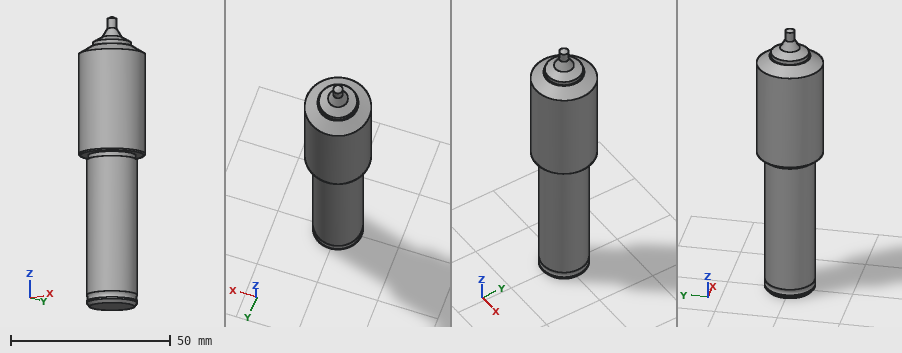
import cadquery as cq
import math

total_length = 92.35

pin_radius = 1.5
flare_radius = 3.1
collar_radius = 6.0
shoulder_radius = 6.5
body_radius = 10.48
undercut_radius = 7.5
shaft_radius = 7.99

bottom_chamfer_top = 1.1
ring_groove_bottom = 1.7
ring_groove_top = 3.6
shaft_top = 46.6
body_bottom = 48.1
body_top = 80.25
shoulder_height = 82.7
collar_top = 84.0
pin_bottom = 88.5

point_height = 0.7
body_chamfer = 0.5
bottom_chamfer_width = 0.9
ring_groove_depth = 0.3
undercut_fillet = 0.5

cone_slope = math.tan(math.radians(30))
flare_height = collar_top + (collar_radius - flare_radius) * cone_slope

ring_groove_middle = (shaft_radius - ring_groove_depth, (ring_groove_bottom + ring_groove_top) / 2)
fillet_inset = undercut_fillet * (1 - math.sqrt(0.5))
fillet_middle = (undercut_radius + fillet_inset, shaft_top + fillet_inset)

half_section = (
    cq.Workplane("XZ")
    .lineTo(shaft_radius - bottom_chamfer_width, 0)
    .lineTo(shaft_radius, bottom_chamfer_top)
    .lineTo(shaft_radius, ring_groove_bottom)
    .threePointArc(ring_groove_middle, (shaft_radius, ring_groove_top))
    .lineTo(shaft_radius, shaft_top)
    .lineTo(undercut_radius + undercut_fillet, shaft_top)
    .threePointArc(fillet_middle, (undercut_radius, shaft_top + undercut_fillet))
    .lineTo(undercut_radius, body_bottom)
    .lineTo(body_radius - body_chamfer, body_bottom)
    .lineTo(body_radius, body_bottom + body_chamfer)
    .lineTo(body_radius, body_top)
    .lineTo(shoulder_radius, shoulder_height)
    .lineTo(collar_radius, shoulder_height)
    .lineTo(collar_radius, collar_top)
    .lineTo(flare_radius, flare_height)
    .lineTo(pin_radius, pin_bottom)
    .lineTo(pin_radius, total_length - point_height)
    .lineTo(0, total_length)
    .close()
)

result = half_section.revolve(360, (0, 0, 0), (0, 1, 0))